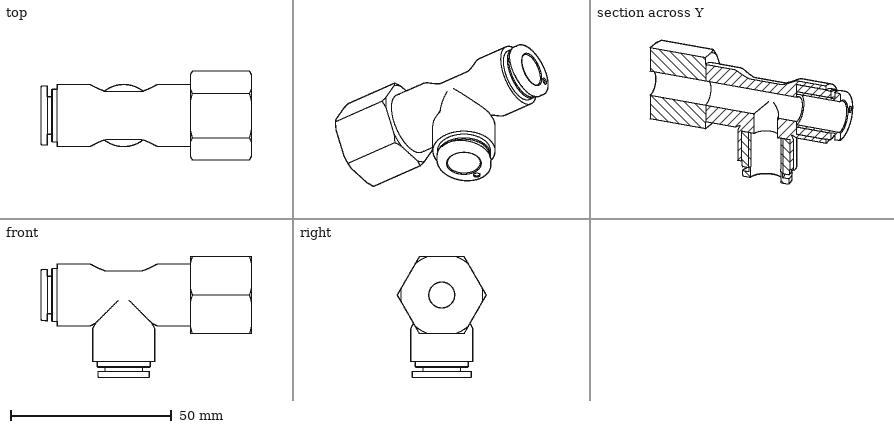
import cadquery as cq
import math


body_dia = 19.4
waist_dia = 15.0
bore_dia = 8.0
arm_length = 20.7
socket_length = 10.0
waist_half_length = 5.5
edge_blend = 0.4
flare_sag = 0.12

collar_dia = 16.5
collar_stickout = 1.8
collar_depth = 10.0
collar_chamfer = 0.3

sleeve_dia = 11.7
mouth_bore_dia = 10.2
inner_bore_dia = 10.15
mouth_dia = 10.8
sleeve_end = 25.7
flange_thickness = 2.0
flange_width = 18.4
flange_height = 16.0
flange_round = 0.4
bore_taper_start = 3.2
bore_taper_end = 4.9
dot_dia = 2.0
dot_depth = 0.5
dot_offset = 7.0

hex_sides = 6
hex_flats = 24.0
hex_length = 19.0
hex_face_dia = 25.5
hex_chamfer_angle = 30.0

socket_floor = arm_length - collar_depth


def cylinder_x(dia, start, end):
    """Cylinder on the X axis between two X positions."""
    return cq.Workplane("YZ", origin=(start, 0, 0)).circle(dia / 2).extrude(end - start)


def turn_to_branch(shape):
    """Swing an item on the -X arm round to the branch arm on -Z."""
    return shape.rotate((0, 0, 0), (0, 1, 0), -90)


def make_arm():
    """One solid arm of the tee on -X: waist, bowed flare and full-diameter socket."""
    body_r = body_dia / 2
    waist_r = waist_dia / 2
    flare_start = waist_half_length + edge_blend
    flare_end = arm_length - socket_length
    rise = (body_r - waist_r) / (flare_end - flare_start + edge_blend)
    low_r = waist_r + rise * edge_blend / 2
    high_r = body_r - rise * edge_blend / 2
    flare_mid_x = -(flare_start + flare_end - edge_blend) / 2
    flare_mid_r = (low_r + high_r) / 2 - flare_sag
    profile = (
        cq.Workplane("XY")
        .moveTo(0, 0)
        .lineTo(0, waist_r)
        .lineTo(-waist_half_length, waist_r)
        .lineTo(-flare_start, low_r)
        .threePointArc((flare_mid_x, flare_mid_r), (-(flare_end - edge_blend), high_r))
        .lineTo(-flare_end, body_r)
        .lineTo(-arm_length, body_r)
        .lineTo(-arm_length, 0)
        .close()
    )
    return profile.revolve(360, (0, 0, 0), (1, 0, 0))


def make_tee_body():
    left_arm = make_arm()
    right_arm = left_arm.mirror("YZ")
    branch_arm = turn_to_branch(left_arm)
    bore = cylinder_x(bore_dia, -arm_length, 0)
    socket = cylinder_x(collar_dia, -arm_length, -socket_floor)
    left_cavity = bore.union(socket)
    return (
        left_arm.union(right_arm)
        .union(branch_arm)
        .cut(left_cavity)
        .cut(turn_to_branch(left_cavity))
        .cut(cylinder_x(bore_dia, 0, arm_length))
    )


def make_collar():
    """Ring on the -X arm that holds the release sleeve."""
    collar_face = -(arm_length + collar_stickout)
    ring = cylinder_x(collar_dia, collar_face, -socket_floor)
    ring = ring.faces("<X").edges().chamfer(collar_chamfer)
    return ring.cut(cylinder_x(sleeve_dia, collar_face, -socket_floor))


def make_sleeve():
    """Release sleeve on the -X arm with an oval flange, a tapered bore and a dot recess."""
    flange = (
        cq.Workplane("YZ", origin=(-sleeve_end, 0, 0))
        .ellipse(flange_width / 2, flange_height / 2)
        .extrude(flange_thickness)
        .faces("<X").edges().fillet(flange_round)
    )
    blank = flange.union(cylinder_x(sleeve_dia, flange_thickness - sleeve_end, -socket_floor))

    mouth_r = mouth_dia / 2
    outer_r = mouth_bore_dia / 2
    inner_r = inner_bore_dia / 2
    bore = (
        cq.Workplane("XY")
        .moveTo(-sleeve_end, 0)
        .lineTo(-sleeve_end, mouth_r)
        .lineTo(-sleeve_end + mouth_r - outer_r, outer_r)
        .lineTo(-sleeve_end + bore_taper_start, outer_r)
        .lineTo(-sleeve_end + bore_taper_end, inner_r)
        .lineTo(-socket_floor, inner_r)
        .lineTo(-socket_floor, 0)
        .close()
        .revolve(360, (0, 0, 0), (1, 0, 0))
    )
    dot = cylinder_x(dot_dia, -sleeve_end, dot_depth - sleeve_end).translate((0, -dot_offset, 0))
    return blank.cut(bore).cut(dot)


def make_nut():
    """Hex nut against the right arm, flats up and down, corners chamfered at both ends."""
    corner_dia = hex_flats / math.cos(math.radians(180 / hex_sides))
    nut_end = arm_length + hex_length
    prism = (
        cq.Workplane("YZ", origin=(arm_length, 0, 0))
        .polygon(hex_sides, corner_dia)
        .extrude(hex_length)
    )
    corner_cut = (corner_dia - hex_face_dia) / 2
    chamfer_length = corner_cut * math.tan(math.radians(hex_chamfer_angle))
    envelope = (
        cylinder_x(corner_dia, arm_length, nut_end)
        .faces("<X or >X").edges().chamfer(chamfer_length, corner_cut)
    )
    return prism.intersect(envelope).cut(cylinder_x(bore_dia, arm_length, nut_end))


tee_body = make_tee_body()
nut = make_nut()

bodies = [tee_body.val(), nut.val()]
for part in (make_collar(), make_sleeve()):
    bodies.append(part.val())
    bodies.append(turn_to_branch(part).val())

result = cq.Compound.makeCompound(bodies)